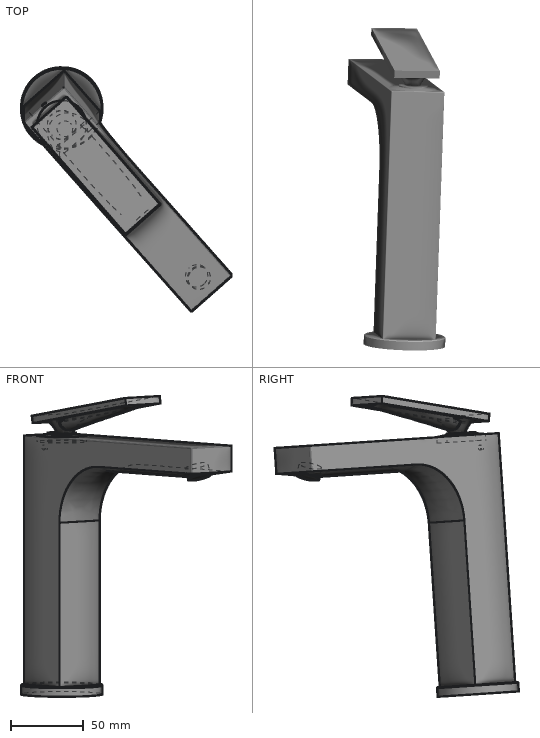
import cadquery as cq
import math

SPOUT_TURN = -48.5
LEAN = 3.8

FLANGE_DIAMETER = 56.0
FLANGE_HEIGHT = 6.6
FLANGE_EDGE = 0.6

COLUMN_SIDE = 37.0
BODY_TOP = 178.0
SPOUT_REACH = 155.2
SPOUT_HEIGHT = 17.8
BEND_RADIUS = 40.5
CROWN_SAG = 4.1
FLAT_SAG = 0.05
CROWN_FADE = 16.5
STRIP_DEPTH = 2.0
STRIP_OVERLAP = 2.0
EDGE_ROUNDING = 0.5
CROWN_BEND_STEPS = 4

COVER_DIAMETER = 33.7
COVER_RISE = 1.0
COVER_RECESS = 4.1
STEM_DIAMETER = 19.8
STEM_RISE = 1.9

PLATE_LENGTH = 98.4
PLATE_WIDTH = 31.6
PLATE_THICKNESS = 5.2
PLATE_SLOPE = 10.0
PLATE_BACK_X = -13.2
PLATE_BACK_Z = 191.5
NECK_X = 3.3
NECK_OVERLAP = 0.8
NECK_RADIUS = 5.4
FLARE_RADIUS = 15.5
FLARE_MIDWAY = 0.3
RIB_BACK_X = 8.3
RIB_BACK_WIDTH = 22.7
RIB_BACK_DEPTH = 8.5
RIB_TIP_WIDTH = 29.8
RIB_TIP_DEPTH = 0.6
RIB_TIP_GAP = 2.0

AERATOR_X = 141.1
AERATOR_DIAMETER = 15.7
AERATOR_TILT = 20.0
AERATOR_DROP = 4.1
AERATOR_DEPTH = 4.1

PLUG_DIAMETER = 3.3
PLUG_BELOW_TOP = 9.0
PLUG_DEPTH = 2.0

SPOUT_UNDERSIDE = BODY_TOP - SPOUT_HEIGHT
COLUMN_HALF = COLUMN_SIDE / 2
BEND_START_Z = SPOUT_UNDERSIDE - BEND_RADIUS
BEND_END_X = COLUMN_HALF + BEND_RADIUS
STEM_TOP = BODY_TOP + STEM_RISE


def make_flange():
    flange = cq.Workplane("XY").circle(FLANGE_DIAMETER / 2).extrude(FLANGE_HEIGHT)
    return flange.faces(">Z").edges().chamfer(FLANGE_EDGE)


def make_aerator():
    outlet = (
        cq.Workplane("XY")
        .circle(AERATOR_DIAMETER / 2)
        .extrude(AERATOR_DEPTH + AERATOR_DROP)
        .translate((0, 0, -AERATOR_DROP))
    )
    tilted = outlet.rotate((0, 0, 0), (0, 1, 0), -AERATOR_TILT)
    return tilted.translate((AERATOR_X, 0, SPOUT_UNDERSIDE))


def make_plug():
    return (
        cq.Workplane("YZ", origin=(-COLUMN_HALF, 0, BODY_TOP - PLUG_BELOW_TOP))
        .circle(PLUG_DIAMETER / 2)
        .extrude(PLUG_DEPTH)
    )


def crown_section(x, z, angle, sag):
    """Outline bulging by sag below the body surface at (x, z); angle 0 faces +X, 90 faces down."""
    turn = math.radians(angle)
    outward = cq.Vector(math.cos(turn), 0, -math.sin(turn))
    plane = cq.Plane(origin=(x, 0, z), xDir=(0, 1, 0), normal=outward.cross(cq.Vector(0, 1, 0)))
    return (
        cq.Workplane(plane)
        .moveTo(-COLUMN_HALF, STRIP_DEPTH + STRIP_OVERLAP)
        .lineTo(-COLUMN_HALF, 0)
        .threePointArc((0, -sag), (COLUMN_HALF, 0))
        .lineTo(COLUMN_HALF, STRIP_DEPTH + STRIP_OVERLAP)
        .close()
        .wire()
        .val()
    )


def make_crown():
    sections = []
    for step in range(CROWN_BEND_STEPS + 1):
        share = step / CROWN_BEND_STEPS
        turn = math.radians(90 * share)
        x = BEND_END_X - BEND_RADIUS * math.cos(turn)
        z = BEND_START_Z + BEND_RADIUS * math.sin(turn)
        sections.append(crown_section(x, z, 90 * share, FLAT_SAG + (CROWN_SAG - FLAT_SAG) * share))
    bend = cq.Solid.makeLoft(sections)
    full = crown_section(SPOUT_REACH - CROWN_FADE, SPOUT_UNDERSIDE, 90, CROWN_SAG)
    tip = crown_section(SPOUT_REACH, SPOUT_UNDERSIDE, 90, FLAT_SAG)
    run = cq.Solid.makeLoft([sections[-1], full], True)
    fade = cq.Solid.makeLoft([full, tip], True)
    return bend.fuse(run, fade)


def make_body(aerator, plug):
    body = (
        cq.Workplane("XZ")
        .moveTo(-COLUMN_HALF, FLANGE_HEIGHT)
        .lineTo(COLUMN_HALF, FLANGE_HEIGHT)
        .lineTo(COLUMN_HALF, BEND_START_Z)
        .lineTo(COLUMN_HALF - STRIP_DEPTH, BEND_START_Z)
        .radiusArc((BEND_END_X, SPOUT_UNDERSIDE + STRIP_DEPTH), BEND_RADIUS + STRIP_DEPTH)
        .lineTo(SPOUT_REACH, SPOUT_UNDERSIDE + STRIP_DEPTH)
        .lineTo(SPOUT_REACH, BODY_TOP)
        .lineTo(-COLUMN_HALF, BODY_TOP)
        .close()
        .extrude(COLUMN_HALF, both=True)
    )
    recess = (
        cq.Workplane("XY", origin=(0, 0, BODY_TOP - COVER_RECESS))
        .circle(COVER_DIAMETER / 2)
        .extrude(COVER_RECESS)
    )
    body = body.union(cq.Workplane(make_crown()))
    body = body.edges("(|Z and (<X or >X)) or (#Z and >Z)").fillet(EDGE_ROUNDING)
    return body.cut(recess).cut(aerator).cut(plug)


def make_cover():
    rim = COVER_DIAMETER / 2
    bore = STEM_DIAMETER / 2
    seat_z = BODY_TOP - COVER_RECESS
    return (
        cq.Workplane("XZ")
        .moveTo(bore, seat_z)
        .lineTo(rim, seat_z)
        .lineTo(rim, BODY_TOP)
        .lineTo(bore, BODY_TOP + COVER_RISE)
        .close()
        .revolve(360, (0, 0, 0), (0, 1, 0))
    )


def make_stem():
    return (
        cq.Workplane("XY", origin=(0, 0, BODY_TOP - COVER_RECESS))
        .circle(STEM_DIAMETER / 2)
        .extrude(COVER_RECESS + STEM_RISE)
    )


def plate_underside(x):
    slope = math.radians(PLATE_SLOPE)
    return PLATE_BACK_Z + (x - PLATE_BACK_X) * math.tan(slope) - PLATE_THICKNESS / math.cos(slope)


def make_plate():
    return (
        cq.Workplane("XY")
        .box(PLATE_LENGTH, PLATE_WIDTH, PLATE_THICKNESS, centered=(False, True, False))
        .translate((0, 0, -PLATE_THICKNESS))
        .rotate((0, 0, 0), (0, 1, 0), -PLATE_SLOPE)
        .translate((PLATE_BACK_X, 0, PLATE_BACK_Z))
    )


def make_neck():
    top = plate_underside(NECK_X) + NECK_OVERLAP
    mid_flare = (NECK_RADIUS + FLARE_MIDWAY * (FLARE_RADIUS - NECK_RADIUS), (STEM_TOP + top) / 2)
    return (
        cq.Workplane("XZ")
        .moveTo(0, STEM_TOP)
        .lineTo(NECK_RADIUS, STEM_TOP)
        .threePointArc(mid_flare, (FLARE_RADIUS, top))
        .lineTo(0, top)
        .close()
        .revolve(360, (0, 0, 0), (0, 1, 0))
        .translate((NECK_X, 0, 0))
    )


def rib_section(x, width, depth):
    root = plate_underside(x) + PLATE_THICKNESS / 2
    return (
        cq.Workplane("YZ", origin=(x, 0, 0))
        .moveTo(-width / 2, root)
        .threePointArc((0, plate_underside(x) - depth), (width / 2, root))
        .close()
        .wire()
        .val()
    )


def make_rib():
    tip_x = PLATE_BACK_X + PLATE_LENGTH * math.cos(math.radians(PLATE_SLOPE)) - RIB_TIP_GAP
    back = rib_section(RIB_BACK_X, RIB_BACK_WIDTH, RIB_BACK_DEPTH)
    tip = rib_section(tip_x, RIB_TIP_WIDTH, RIB_TIP_DEPTH)
    return cq.Workplane(cq.Solid.makeLoft([back, tip], True))


def make_lever():
    return make_plate().union(make_neck()).union(make_rib())


def place(body):
    turned = body.rotate((0, 0, 0), (0, 0, 1), SPOUT_TURN)
    return turned.rotate((0, 0, 0), (1, 0, 0), LEAN).val()


aerator = make_aerator()
plug = make_plug()
bodies = [make_flange(), make_body(aerator, plug), make_cover(), make_stem(), make_lever(), aerator, plug]
result = cq.Compound.makeCompound([place(body) for body in bodies])